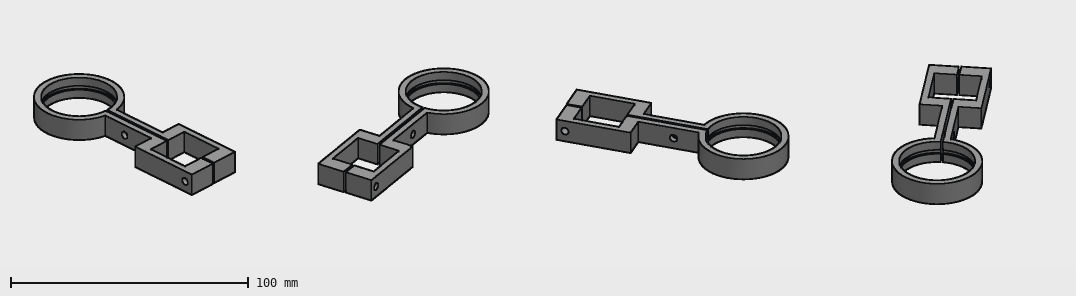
import cadquery as cq

length = 98.0
height = 10.0
wall = 3.0
slit_width = 1.0

ring_diameter = 38.0
ring_radius = ring_diameter / 2
bore_radius = ring_radius - wall
groove_height = 2.0
groove_depth = 1.0

clamp_end_x = length - ring_radius
clamp_length = 33.3
clamp_start_x = clamp_end_x - clamp_length
window_size = 20.1
end_wall = 7.0
back_jaw_setback = 0.2
clamp_width = 26.3
window_width = clamp_width - 2 * wall

arm_width = 6.9

screw_diameter = 3.2
arm_screw_x = length / 2 - ring_radius
end_screw_x = clamp_end_x - 4.0


def bar(start_x, end_x, width):
    """Full-height block centred on the X axis in Y and on the mid-plane in Z."""
    middle_x = (start_x + end_x) / 2
    return cq.Workplane("XY").box(end_x - start_x, width, height).translate((middle_x, 0, 0))


def disc(radius, thickness):
    """Disc on the ring axis, centred on the mid-plane."""
    return cq.Workplane("XY").circle(radius).extrude(thickness / 2, both=True)


def screw_hole(x):
    """Cylinder along Y, long enough to cross the whole clamp."""
    return cq.Workplane("XZ").center(x, 0).circle(screw_diameter / 2).extrude(clamp_width, both=True)


body = disc(ring_radius, height)
body = body.union(bar(0, clamp_start_x + wall, arm_width))
body = body.union(bar(clamp_start_x, clamp_end_x, clamp_width))

body = body.cut(disc(bore_radius, height))
body = body.cut(disc(bore_radius + groove_depth, groove_height))

window_end_x = clamp_end_x - end_wall
body = body.cut(bar(window_end_x - window_size, window_end_x, window_width))

body = body.cut(bar(0, clamp_end_x, slit_width))

trim = bar(clamp_end_x - back_jaw_setback, clamp_end_x, clamp_width)
body = body.cut(trim.translate((0, clamp_width / 2, 0)))

for screw_x in (arm_screw_x, end_screw_x):
    body = body.cut(screw_hole(screw_x))

result = body